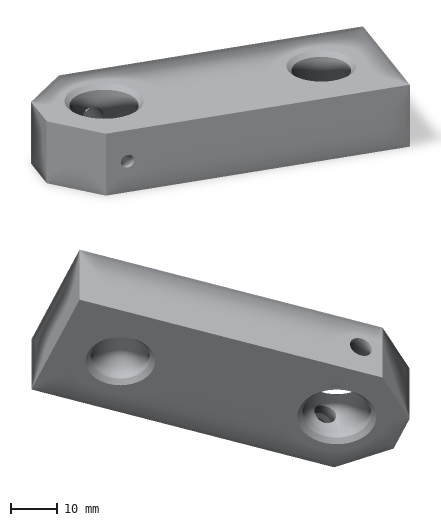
import cadquery as cq
import math

length = 80.0
width = length * 3 / 8
height = width / 2
nose_cut = width / 3

hole_end_distance = width / 2
hole_offset = length / 2 - hole_end_distance
rear_hole_diameter = 13.0
nose_hole_diameter = 15.0
hole_chamfer = 1.0

cross_bore_diameter = 5.0
cross_exit_diameter = 3.0
cross_bore_depth = 25.0
drill_point_angle = 118
cross_step = (cross_bore_diameter - cross_exit_diameter) / 2
cross_cone_length = cross_step / math.tan(math.radians(drill_point_angle / 2))


def chamfered_hole(diameter, chamfer, depth):
    """Through hole along Z, centred on the origin, widened at both ends."""
    radius = diameter / 2
    mouth_radius = radius + chamfer
    half_depth = depth / 2
    profile = [
        (0, -half_depth),
        (mouth_radius, -half_depth),
        (radius, -half_depth + chamfer),
        (radius, half_depth - chamfer),
        (mouth_radius, half_depth),
        (0, half_depth),
    ]
    return cq.Workplane("XZ").polyline(profile).close().revolve(360, (0, 0), (0, 1))


block = cq.Workplane("XY").box(width, length, height)
block = block.faces("<Y").edges("|Z").chamfer(nose_cut)

rear_hole = chamfered_hole(rear_hole_diameter, hole_chamfer, height).translate((0, hole_offset, 0))
nose_hole = chamfered_hole(nose_hole_diameter, hole_chamfer, height).translate((0, -hole_offset, 0))

cone_start = -width / 2 + cross_bore_depth
cone_end = cone_start + cross_cone_length
cross_hole_profile = [
    (-width / 2, 0),
    (-width / 2, cross_bore_diameter / 2),
    (cone_start, cross_bore_diameter / 2),
    (cone_end, cross_exit_diameter / 2),
    (width / 2, cross_exit_diameter / 2),
    (width / 2, 0),
]
cross_hole = cq.Workplane("XY").polyline(cross_hole_profile).close().revolve(360, (0, 0), (1, 0))
cross_hole = cross_hole.translate((0, -hole_offset, 0))

result = block.cut(rear_hole).cut(nose_hole).cut(cross_hole)